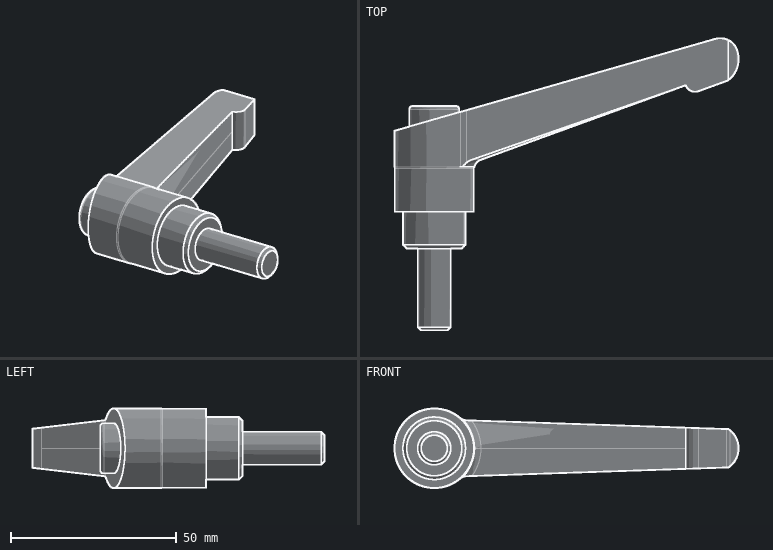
import cadquery as cq
import math


stud_radius = 5.0
stud_length = 24.8
stud_chamfer = 1.0
collar_radius = 9.5
collar_length = 11.0
collar_chamfer = 1.1
sleeve_radius = 12.0
sleeve_length = 13.2
hub_radius = 12.1
hub_bevel_height = 0.5
cap_radius = 7.6
cap_top = 67.9
cap_edge_radius = 1.0

sleeve_start = stud_length + collar_length
hub_start = sleeve_start + sleeve_length

lever_reach = 92.0
top_angle = math.radians(16.0)
top_height_on_axis = 63.8
bottom_angle = math.radians(20.0)
bottom_height_on_axis = 46.4
root_x = 5.2
root_half_width = 8.6
root_fillet = 3.0
ridge_depth = 1.1
blank_widening = 1.2

hook_x = 76.0
hook_drop = 3.0
end_half_width = 5.8
end_arc_start_x = 88.9
tip_radius = 8.1
tip_center_x = lever_reach - tip_radius
tip_center_y = 82.0
tip_upper_corner_radius = 5.4
tip_lower_corner_radius = 3.1
underside_height_on_axis = bottom_height_on_axis - hook_drop / math.cos(bottom_angle)


def top_y(x):
    return top_height_on_axis + math.tan(top_angle) * x


def bottom_y(x):
    return bottom_height_on_axis + math.tan(bottom_angle) * x


def half_width(x):
    taper = (root_half_width - end_half_width) / (end_arc_start_x - root_x)
    return root_half_width - taper * (x - root_x)


def disc(radius, start, end):
    """Cylinder on the clamping axis between two Y positions."""
    return cq.Workplane("XZ", origin=(0, start, 0)).circle(radius).extrude(start - end)


def nearest_to(x, y, z):
    return cq.selectors.NearestToPointSelector((x, y, z))


def make_stud():
    return disc(stud_radius, 0, sleeve_start).faces("<Y").chamfer(stud_chamfer)


def make_collar():
    return disc(collar_radius, stud_length, hub_start).faces("<Y").chamfer(collar_chamfer)


def make_sleeve():
    return disc(sleeve_radius, sleeve_start, hub_start)


def make_cap():
    return disc(cap_radius, hub_start, cap_top).faces(">Y").fillet(cap_edge_radius)


def make_half_hub():
    """Half of the hub on the +Z side, cut off along the sloping top of the lever."""
    below_lever_top = (
        cq.Workplane("XY")
        .moveTo(-hub_radius, sleeve_start)
        .lineTo(hub_radius, sleeve_start)
        .lineTo(hub_radius, top_y(hub_radius))
        .lineTo(-hub_radius, top_y(-hub_radius))
        .close()
        .extrude(hub_radius)
    )
    return disc(hub_radius, sleeve_start, cap_top).intersect(below_lever_top)


def half_section(x, depth):
    """Half cross-section of the widened arm blank, with its underside rising away from Z = 0."""
    side = blank_widening * half_width(x)
    points = [
        (x, top_y(x), 0),
        (x, bottom_y(x), 0),
        (x, bottom_y(x) + blank_widening * depth, side),
        (x, top_y(x), side),
    ]
    return cq.Wire.makePolygon([cq.Vector(*point) for point in points], close=True)


def make_half_blank():
    """Half hub with the widened half arm, filleted where the ridged underside meets the hub."""
    sections = [half_section(root_x, ridge_depth), half_section(hook_x, 0)]
    arm = cq.Workplane(obj=cq.Solid.makeLoft(sections, True))
    junction = nearest_to(hub_radius, bottom_y(hub_radius), hub_radius / 3)
    return make_half_hub().union(arm).edges(junction).fillet(root_fillet)


def tip_corner(line_height, angle):
    """Point where a straight line of the lever outline meets the round end of the tip."""
    line_y = line_height + math.tan(angle) * tip_center_x
    offset = (line_y - tip_center_y) * math.cos(angle)
    reach = math.sqrt(tip_radius**2 - offset**2)
    return (
        tip_center_x - offset * math.sin(angle) + reach * math.cos(angle),
        tip_center_y + offset * math.cos(angle) + reach * math.sin(angle),
    )


def make_tip():
    """Tip of the lever with the quarter-round step of the finger hook, still at full width."""
    hook_center_x = hook_x + hook_drop * math.cos(bottom_angle)
    hook_center_y = bottom_y(hook_center_x)

    def hook_point(angle):
        return (
            hook_center_x + hook_drop * math.cos(angle),
            hook_center_y + hook_drop * math.sin(angle),
        )

    hook_end_angle = bottom_angle - math.pi / 2
    lower_corner = tip_corner(underside_height_on_axis, bottom_angle)
    upper_corner = tip_corner(top_height_on_axis, top_angle)
    tip = (
        cq.Workplane("XY")
        .moveTo(hook_x, bottom_y(hook_x))
        .threePointArc(hook_point(hook_end_angle - math.pi / 4), hook_point(hook_end_angle))
        .lineTo(*lower_corner)
        .threePointArc((lever_reach, tip_center_y), upper_corner)
        .lineTo(hook_x, top_y(hook_x))
        .close()
        .extrude(root_half_width, both=True)
    )
    tip = tip.edges("|Z").edges(nearest_to(*lower_corner, 0)).fillet(tip_lower_corner_radius)
    return tip.edges("|Z").edges(nearest_to(*upper_corner, 0)).fillet(tip_upper_corner_radius)


def make_plan():
    """Outline of hub and arm along Y: tapered sides, round end, fillets beside the hub."""
    plan_height = lever_reach
    plan = (
        cq.Workplane("XZ")
        .moveTo(root_x, -half_width(root_x))
        .lineTo(end_arc_start_x, -end_half_width)
        .threePointArc((lever_reach, 0), (end_arc_start_x, end_half_width))
        .lineTo(root_x, half_width(root_x))
        .close()
        .extrude(-plan_height)
        .union(disc(hub_radius, 0, plan_height))
    )
    corner_x = math.sqrt(hub_radius**2 - root_half_width**2)
    for corner_z in (-root_half_width, root_half_width):
        corner = nearest_to(corner_x, plan_height / 2, corner_z)
        plan = plan.edges("|Y").edges(corner).fillet(root_fillet)
    return plan


def make_bevel_waste():
    """Everything around the sleeve, ending in a cone that bevels the lower edge of the hub."""
    outer_radius = hub_radius + root_fillet
    return (
        cq.Workplane("XY")
        .moveTo(sleeve_radius, sleeve_start)
        .lineTo(outer_radius, sleeve_start)
        .lineTo(outer_radius, hub_start)
        .lineTo(hub_radius, hub_start + hub_bevel_height)
        .lineTo(sleeve_radius, hub_start)
        .close()
        .revolve(360, (0, 0, 0), (0, 1, 0))
    )


def make_lever():
    half = make_half_blank()
    lever = half.union(half.mirror("XY")).union(make_tip())
    return lever.intersect(make_plan()).cut(make_bevel_waste())


result = make_lever()
for piece in (make_sleeve(), make_collar(), make_stud(), make_cap()):
    result = result.union(piece)